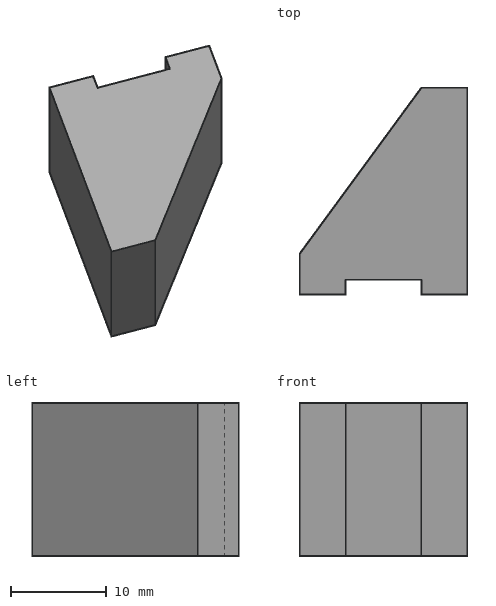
import cadquery as cq

width = 17.5
depth = 21.6
height = 16.0

foot_width = 4.8
channel_depth = 1.53
short_side = 4.28
top_land = 4.8
channel_width = width - 2 * foot_width

wedge = (
    cq.Workplane("XY")
    .polyline([
        (0, 0),
        (width, 0),
        (width, depth),
        (width - top_land, depth),
        (0, short_side),
    ])
    .close()
    .extrude(height)
)

channel = (
    cq.Workplane("XY")
    .box(channel_width, channel_depth, height, centered=False)
    .translate((foot_width, 0, 0))
)

result = wedge.cut(channel)